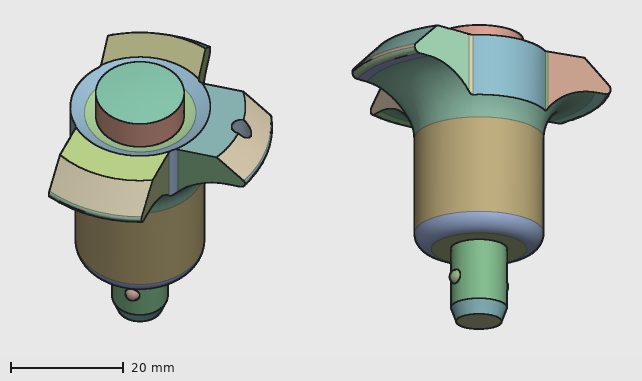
import cadquery as cq
import math


body_radius = 11.5
body_bottom_fillet = 3.0
handle_height = 36.0

collar_radius = 12.37
recess_rim_radius = 12.5
recess_cone_end_radius = 9.9
recess_wall_slope = 30.0
recess_bowl_radius = 7.5

wing_tip_radius = 23.5
wing_width = 17.3
wing_underside_height = 29.8
side_wing_width = 17.65
side_wing_angle = 96.65
side_wing_offset = 0.35
tip_rounding = 1.0
flare_radius = 9.0
wing_root_fillet = 1.0
wing_corner_fillet = 1.3

lanyard_hole_diameter = 3.5

button_radius = 7.85
button_height = 40.0
button_dome_rise = 0.6
button_base_height = handle_height / 2

shank_radius = 5.0
shank_length = 13.7
shank_taper_length = 2.6
shank_taper_angle = 20.0
ball_radius = 1.35
ball_protrusion = 1.0
ball_depth = 6.2

tip_center_radius = wing_tip_radius - tip_rounding
tip_center_height = wing_underside_height + tip_rounding
diagonal = math.sqrt(0.5)
slope_end_radius = tip_center_radius + tip_rounding * diagonal
slope_end_height = tip_center_height + tip_rounding * diagonal
slope_start_radius = slope_end_radius - (handle_height - slope_end_height)

flare_start_height = wing_underside_height - flare_radius
flare_end_radius = body_radius + flare_radius


def revolve_about_z(profile):
    return profile.close().revolve(360, (0, 0, 0), (0, 1, 0))


def make_flared_handle():
    """Full disc-topped handle, before it is cut down to three wings."""

    def on_tip(degrees):
        angle = math.radians(degrees)
        return (
            tip_center_radius + tip_rounding * math.cos(angle),
            tip_center_height + tip_rounding * math.sin(angle),
        )

    flare_middle = (
        flare_end_radius - flare_radius * diagonal,
        flare_start_height + flare_radius * diagonal,
    )
    profile = (
        cq.Workplane("XZ")
        .lineTo(body_radius, 0)
        .lineTo(body_radius, flare_start_height)
        .threePointArc(flare_middle, (flare_end_radius, wing_underside_height))
        .lineTo(tip_center_radius, wing_underside_height)
        .threePointArc(on_tip(-45), on_tip(0))
        .threePointArc(on_tip(22.5), (slope_end_radius, slope_end_height))
        .lineTo(slope_start_radius, handle_height)
        .lineTo(0, handle_height)
    )
    return revolve_about_z(profile).faces("<Z").edges().fillet(body_bottom_fillet)


def make_wing_envelope():
    """Upright prism with the plan shape of the collar and wings, filleted in its inner corners."""

    def wing_bar(width, offset):
        reach = wing_tip_radius + tip_rounding
        bar = cq.Workplane("XY").box(reach, width, handle_height, centered=(False, True, False))
        return bar.translate((0, offset, 0))

    def box_around_collar(x_min, x_max):
        half_side = collar_radius
        return cq.selectors.BoxSelector((x_min, -half_side, 0), (x_max, half_side, handle_height))

    wings = wing_bar(wing_width, 0)
    for side in (-1, 1):
        offset = -side * side_wing_offset
        bar = wing_bar(side_wing_width, offset)
        wings = wings.union(bar.rotate((0, 0, 0), (0, 0, 1), side * side_wing_angle))
    wings = wings.edges("|Z").edges(box_around_collar(0, collar_radius)).fillet(wing_corner_fillet)

    collar = cq.Workplane("XY").circle(collar_radius).extrude(handle_height)
    envelope = collar.union(wings)
    return envelope.edges("|Z").edges(box_around_collar(-collar_radius, 0)).fillet(wing_root_fillet)


def make_recess():
    """Cone that runs tangent into a shallow bowl, which meets the button wall."""
    slope = math.radians(recess_wall_slope)
    cone_end_height = handle_height - (recess_rim_radius - recess_cone_end_radius) * math.tan(slope)
    bowl_center_radius = recess_cone_end_radius - recess_bowl_radius * math.sin(slope)
    bowl_center_height = cone_end_height + recess_bowl_radius * math.cos(slope)

    def on_bowl(radius):
        run = radius - bowl_center_radius
        return (radius, bowl_center_height - math.sqrt(recess_bowl_radius**2 - run**2))

    bowl_middle = on_bowl((button_radius + recess_cone_end_radius) / 2)
    bowl_end = on_bowl(button_radius)
    profile = (
        cq.Workplane("XZ")
        .moveTo(recess_rim_radius, handle_height)
        .lineTo(recess_cone_end_radius, cone_end_height)
        .threePointArc(bowl_middle, bowl_end)
        .lineTo(0, bowl_end[1])
        .lineTo(0, handle_height)
    )
    return revolve_about_z(profile)


def make_lanyard_hole():
    return (
        cq.Workplane("XY")
        .center(slope_start_radius, 0)
        .circle(lanyard_hole_diameter / 2)
        .extrude(handle_height)
    )


def make_button():
    rim_height = button_height - button_dome_rise
    dome_radius = (button_radius**2 + button_dome_rise**2) / (2 * button_dome_rise)
    half_reach = button_radius / 2
    half_height = button_height - dome_radius + math.sqrt(dome_radius**2 - half_reach**2)
    profile = (
        cq.Workplane("XZ")
        .moveTo(0, button_base_height)
        .lineTo(button_radius, button_base_height)
        .lineTo(button_radius, rim_height)
        .threePointArc((half_reach, half_height), (0, button_height))
    )
    return revolve_about_z(profile)


def make_shank():
    end_radius = shank_radius - shank_taper_length * math.tan(math.radians(shank_taper_angle))
    profile = (
        cq.Workplane("XZ")
        .lineTo(shank_radius, 0)
        .lineTo(shank_radius, shank_taper_length - shank_length)
        .lineTo(end_radius, -shank_length)
        .lineTo(0, -shank_length)
    )
    return revolve_about_z(profile)


def make_ball(side):
    center_distance = shank_radius + ball_protrusion - ball_radius
    return cq.Workplane("XY").sphere(ball_radius).translate((0, side * center_distance, -ball_depth))


handle = make_flared_handle().intersect(make_wing_envelope())
result = handle.cut(make_recess()).cut(make_lanyard_hole())
result = result.union(make_button()).union(make_shank())
for side in (-1, 1):
    result = result.union(make_ball(side))